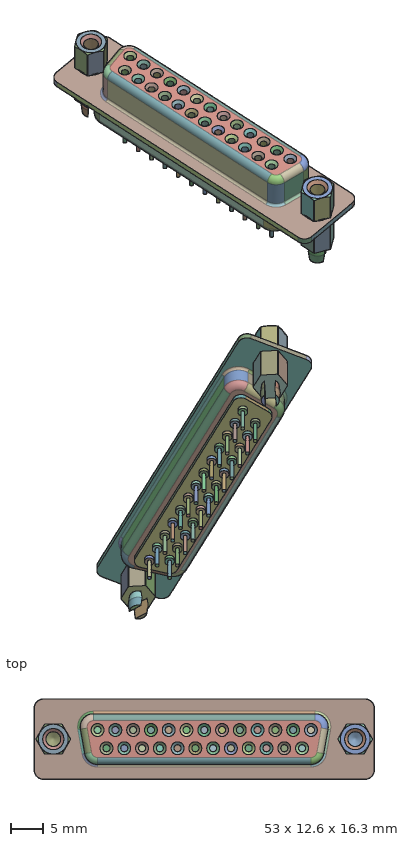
import math

import cadquery as cq


FLANGE_LENGTH = 53.04
FLANGE_WIDTH = 12.55
FLANGE_THICKNESS = 1.05
FLANGE_CORNER_RADIUS = 1.5
FLANGE_BOTTOM = -FLANGE_THICKNESS

SIDE_SLANT_DEG = 10.0
SHELL_HALF_LENGTH = 19.02
SHELL_WIDTH = 7.9
SHELL_CORNER_RADIUS = 2.05
SHELL_HEIGHT = 5.75
BACKSHELL_HALF_LENGTH = 20.08
BACKSHELL_WIDTH = 10.65
BACKSHELL_CORNER_RADIUS = 2.5
BACKSHELL_HEIGHT = 3.95
INSULATOR_HALF_LENGTH = 18.4
INSULATOR_WIDTH = 6.9
INSULATOR_CORNER_RADIUS = 1.3
INSULATOR_HEIGHT = 0.8
RIM_RADIUS = 1.08
FLARE_RADIUS = 0.4
SELECT_MARGIN = 0.01
BACKSHELL_BOTTOM = FLANGE_BOTTOM - BACKSHELL_HEIGHT
INSULATOR_BOTTOM = BACKSHELL_BOTTOM - INSULATOR_HEIGHT

CONTACT_PITCH = 2.77
ROW_SPACING = 2.84
BACK_ROW_COUNT = 13
FRONT_ROW_COUNT = 12
ENTRY_DIAMETER = 2.0
SOCKET_DIAMETER = 1.1
ENTRY_DEPTH = (ENTRY_DIAMETER - SOCKET_DIAMETER) / 2
SOCKET_DEPTH = 5.0
COLLAR_DIAMETER = 1.5
COLLAR_HEIGHT = 0.65
PIN_DIAMETER = 0.6
TAIL_BOTTOM = -10.5

SCREW_SPACING = 47.04
HEX_ACROSS_FLATS = 4.7
HEX_ACROSS_CORNERS = HEX_ACROSS_FLATS / math.cos(math.radians(30))
HEX_CORNER_DIAMETER = 5.34
HEX_TOP = 5.25
HEX_BOTTOM = -6.95
HEX_CHAMFER_DEG = 30.0
HEX_CHAMFER_TOP_DIAMETER = 4.65
NECK_DIAMETER = 4.45
NECK_HEIGHT = 0.25
THREAD_DIAMETER = 2.3
THREAD_MOUTH_DIAMETER = 3.3
THREAD_CHAMFER = (THREAD_MOUTH_DIAMETER - THREAD_DIAMETER) / 2
THREAD_DEPTH = 5.0
DRILL_POINT_DEG = 118.0
LOCK_END_RADIUS = 1.39
LOCK_MIDDLE_RADIUS = 1.56
LOCK_SLOT_WIDTH = 1.7
LOCK_SLOT_ANGLE_DEG = 30.0


def d_body(half_length, width, corner_radius, bottom, height):
    """Prism with a D-sub outline, longer on its +Y side, with rounded corners."""
    half_width = width / 2
    lean = half_width * math.tan(math.radians(SIDE_SLANT_DEG))
    outline = [
        (-half_length - lean, half_width),
        (half_length + lean, half_width),
        (half_length - lean, -half_width),
        (-half_length + lean, -half_width),
    ]
    prism = cq.Workplane("XY").workplane(offset=bottom).polyline(outline).close().extrude(height)
    return prism.edges("|Z").fillet(corner_radius)


def cylinder(diameter, bottom, top, points):
    """Upright cylinders of one size at the given XY points."""
    sketch = cq.Workplane("XY").workplane(offset=bottom).pushPoints(points).circle(diameter / 2)
    return sketch.extrude(top - bottom)


def revolved(profile):
    """Solid of revolution about Z from (radius, z) points."""
    return cq.Workplane("XZ").polyline(profile).close().revolve(360, (0, 0, 0), (0, 1, 0))


def fillet_foot(body, z, half_length, half_width):
    """Round the inside corner where a D-shaped body meets the flange at height z."""
    foot = cq.selectors.BoxSelector(
        (-half_length, -half_width, z - SELECT_MARGIN),
        (half_length, half_width, z + SELECT_MARGIN),
        boundingbox=True,
    )
    return body.edges(foot).fillet(FLARE_RADIUS)


def make_body():
    """Flange with the shell above it, the backshell below it and the insulator underneath."""
    flange = cq.Workplane("XY").rect(FLANGE_LENGTH, FLANGE_WIDTH).extrude(FLANGE_BOTTOM)
    flange = flange.edges("|Z").fillet(FLANGE_CORNER_RADIUS)

    shell = d_body(SHELL_HALF_LENGTH, SHELL_WIDTH, SHELL_CORNER_RADIUS, 0, SHELL_HEIGHT)
    shell = shell.faces(">Z").edges().fillet(RIM_RADIUS)
    backshell = d_body(
        BACKSHELL_HALF_LENGTH, BACKSHELL_WIDTH, BACKSHELL_CORNER_RADIUS, BACKSHELL_BOTTOM, BACKSHELL_HEIGHT
    )
    backshell = backshell.faces("<Z").edges().fillet(RIM_RADIUS)
    insulator = d_body(
        INSULATOR_HALF_LENGTH, INSULATOR_WIDTH, INSULATOR_CORNER_RADIUS, INSULATOR_BOTTOM, INSULATOR_HEIGHT
    )

    body = flange.union(shell).union(backshell)
    inside_length = FLANGE_LENGTH / 2 - FLANGE_CORNER_RADIUS
    inside_width = FLANGE_WIDTH / 2 - FLARE_RADIUS
    for z in (0, FLANGE_BOTTOM):
        body = fillet_foot(body, z, inside_length, inside_width)
    return body.union(insulator)


def contact_points():
    """XY centres of the two staggered contact rows."""
    points = []
    for count, y in ((BACK_ROW_COUNT, ROW_SPACING / 2), (FRONT_ROW_COUNT, -ROW_SPACING / 2)):
        for index in range(count):
            points.append(((index - (count - 1) / 2) * CONTACT_PITCH, y))
    return points


def add_contacts(body):
    """Countersunk sockets in the mating face, collars and solder pins below."""
    points = contact_points()
    pins = cylinder(PIN_DIAMETER, TAIL_BOTTOM, INSULATOR_BOTTOM, points)
    collars = cylinder(COLLAR_DIAMETER, INSULATOR_BOTTOM - COLLAR_HEIGHT, INSULATOR_BOTTOM, points)
    profile = [
        (0, SHELL_HEIGHT),
        (ENTRY_DIAMETER / 2, SHELL_HEIGHT),
        (SOCKET_DIAMETER / 2, SHELL_HEIGHT - ENTRY_DEPTH),
        (SOCKET_DIAMETER / 2, SHELL_HEIGHT - SOCKET_DEPTH),
        (0, SHELL_HEIGHT - SOCKET_DEPTH),
    ]
    socket = revolved(profile).val()
    sockets = cq.Workplane("XY").pushPoints(points).eachpoint(lambda place: socket.moved(place))
    return body.union(collars).union(pins).cut(sockets)


def hex_prism(bottom, top):
    """Upright hexagonal prism with a corner on the X axis."""
    return cq.Workplane("XY").workplane(offset=bottom).polygon(6, HEX_ACROSS_CORNERS).extrude(top - bottom)


def make_hex_post():
    """Hexagonal post with turned-down corners, a chamfered top and a round neck through the flange."""
    corner_radius = HEX_CORNER_DIAMETER / 2
    top_radius = HEX_CHAMFER_TOP_DIAMETER / 2
    chamfer_drop = (corner_radius - top_radius) * math.tan(math.radians(HEX_CHAMFER_DEG))
    turned = revolved([
        (0, HEX_BOTTOM),
        (corner_radius, HEX_BOTTOM),
        (corner_radius, HEX_TOP - chamfer_drop),
        (top_radius, HEX_TOP),
        (0, HEX_TOP),
    ])
    upper = hex_prism(NECK_HEIGHT, HEX_TOP).intersect(turned)
    lower = hex_prism(HEX_BOTTOM, FLANGE_BOTTOM).intersect(turned)
    neck = cylinder(NECK_DIAMETER, FLANGE_BOTTOM, NECK_HEIGHT, [(0, 0)])
    return upper.union(neck).union(lower)


def make_thread_hole():
    """Chamfered blind hole with a conical drill point."""
    radius = THREAD_DIAMETER / 2
    point_depth = radius / math.tan(math.radians(DRILL_POINT_DEG / 2))
    return revolved([
        (0, HEX_TOP),
        (THREAD_MOUTH_DIAMETER / 2, HEX_TOP),
        (radius, HEX_TOP - THREAD_CHAMFER),
        (radius, HEX_TOP - THREAD_DEPTH),
        (0, HEX_TOP - THREAD_DEPTH - point_depth),
    ])


def make_board_lock(slot_angle):
    """Barrel-shaped stud split into two prongs by a slot at the given angle to X."""
    length = HEX_BOTTOM - TAIL_BOTTOM
    middle = HEX_BOTTOM - length / 2
    barrel = revolved([
        (0, HEX_BOTTOM),
        (LOCK_END_RADIUS, HEX_BOTTOM),
        (LOCK_MIDDLE_RADIUS, middle),
        (LOCK_END_RADIUS, TAIL_BOTTOM),
        (0, TAIL_BOTTOM),
    ])
    slot_length = 3 * LOCK_MIDDLE_RADIUS
    slot = cq.Workplane("XY").box(slot_length, LOCK_SLOT_WIDTH, length)
    slot = slot.translate((0, 0, middle)).rotate((0, 0, 0), (0, 0, 1), slot_angle)
    return barrel.cut(slot)


def add_jackscrews(body):
    """One jackscrew at each end; the two board-lock slots mirror each other about X = 0."""
    post = make_hex_post()
    hole = make_thread_hole()
    for side in (-1, 1):
        place = (side * SCREW_SPACING / 2, 0, 0)
        screw = post.union(make_board_lock(side * LOCK_SLOT_ANGLE_DEG))
        body = body.union(screw.translate(place)).cut(hole.translate(place))
    return body


result = add_jackscrews(add_contacts(make_body()))